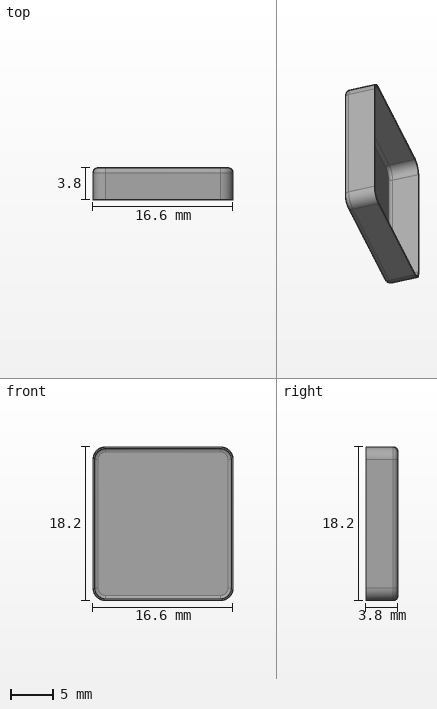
import cadquery as cq

width = 16.6
depth = 3.8
height = 18.2
wall = 0.2
corner_radius = 1.5
floor_edge_radius = 0.6


def rounded_block(inset):
    """Solid shrunk by inset on the sides and floor, flush with the open face."""
    block = cq.Workplane("XY").box(width - 2 * inset, depth - inset, height - 2 * inset)
    block = block.translate((0, -inset / 2, 0))
    block = block.edges("|Y").fillet(corner_radius - inset)
    return block.faces(">Y").edges().fillet(floor_edge_radius - inset)


result = rounded_block(0).cut(rounded_block(wall))